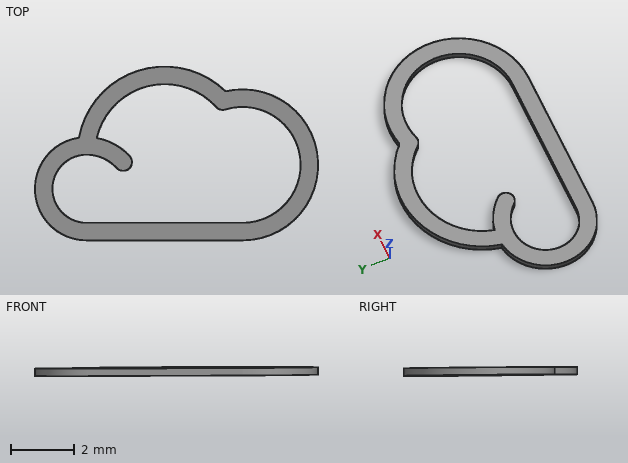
import cadquery as cq
import math

length = 8.96
height = 5.5
band_width = 0.56
thickness = 0.235

tilt_about_x = 0.5
tilt_about_y = -0.235

left_radius = 1.355
crown_radius = 2.48
right_radius = 2.11
tail_radius = 1.57

crown_x = -0.376

half_band = band_width / 2
base_y = -height / 2 + half_band

left_center = (-length / 2 + half_band + left_radius, base_y + left_radius)
right_center = (length / 2 - half_band - right_radius, base_y + right_radius)
crown_center = (crown_x, height / 2 - half_band - crown_radius)

tail_center = (left_center[0], left_center[1] + left_radius - tail_radius)
tail_end_angle = 42.4


def point_on_circle(center, radius, angle):
    """Point at an angle in degrees on a circle."""
    radians = math.radians(angle)
    return (center[0] + radius * math.cos(radians), center[1] + radius * math.sin(radians))


def crossing_angle(center, radius, other_center, other_radius, side):
    """Angle on the first circle where it crosses the other; side picks one of the two crossings."""
    dx = other_center[0] - center[0]
    dy = other_center[1] - center[1]
    distance = math.hypot(dx, dy)
    cosine = (radius**2 + distance**2 - other_radius**2) / (2 * radius * distance)
    return math.degrees(math.atan2(dy, dx) + side * math.acos(cosine))


def arc_band(center, radius, start_angle, end_angle):
    """Curved band with square ends, centred on an arc."""
    middle_angle = (start_angle + end_angle) / 2
    outer = radius + half_band
    inner = radius - half_band
    return (
        cq.Workplane("XY")
        .moveTo(*point_on_circle(center, outer, start_angle))
        .threePointArc(
            point_on_circle(center, outer, middle_angle),
            point_on_circle(center, outer, end_angle),
        )
        .lineTo(*point_on_circle(center, inner, end_angle))
        .threePointArc(
            point_on_circle(center, inner, middle_angle),
            point_on_circle(center, inner, start_angle),
        )
        .close()
        .extrude(thickness / 2, both=True)
    )


def round_end(point):
    """Disc that rounds the end of a band."""
    return cq.Workplane("XY").center(*point).circle(half_band).extrude(thickness / 2, both=True)


def base_bar():
    """Straight band joining the bottoms of the two side lobes."""
    bar_length = right_center[0] - left_center[0]
    middle_x = (right_center[0] + left_center[0]) / 2
    return cq.Workplane("XY").center(middle_x, base_y).box(bar_length, band_width, thickness)


def left_lobe_with_tail():
    """Left half circle that runs on into a round-ended tail inside the cloud."""
    lobe = arc_band(left_center, left_radius, 90, 270)
    tail = arc_band(tail_center, tail_radius, tail_end_angle, 90)
    tail_tip = round_end(point_on_circle(tail_center, tail_radius, tail_end_angle))
    return lobe.union(tail).union(tail_tip)


def crown_and_right_lobe():
    """Top arc from the tail to the right lobe, with a rounded joint between the two arcs."""
    crown_start = crossing_angle(crown_center, crown_radius, right_center, right_radius, 1)
    crown_end = crossing_angle(crown_center, crown_radius, tail_center, tail_radius, -1) + 360
    right_end = crossing_angle(right_center, right_radius, crown_center, crown_radius, -1)
    crown = arc_band(crown_center, crown_radius, crown_start, crown_end)
    right_lobe = arc_band(right_center, right_radius, -90, right_end)
    joint = round_end(point_on_circle(crown_center, crown_radius, crown_start))
    return crown.union(right_lobe).union(joint)


flat_cloud = base_bar().union(left_lobe_with_tail()).union(crown_and_right_lobe()).clean()
result = flat_cloud.rotate((0, 0, 0), (1, 0, 0), tilt_about_x).rotate((0, 0, 0), (0, 1, 0), tilt_about_y)